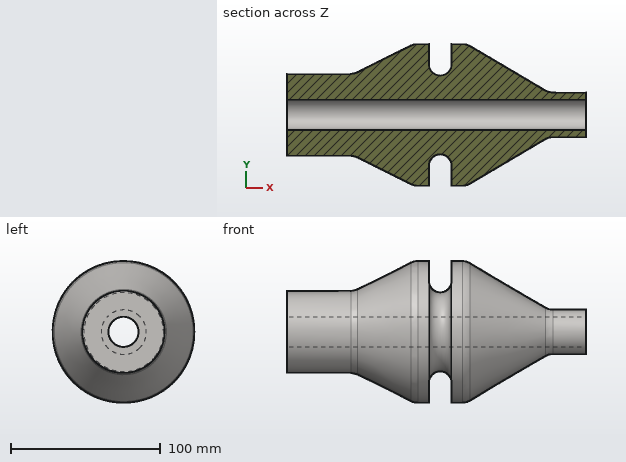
import cadquery as cq

LENGTH = 200.0
REAR_CONE_START = 45.0
REAR_CONE_END = 85.0
FRONT_CONE_START = 120.0
FRONT_CONE_END = 175.0
GROOVE_CENTER = 102.5

REAR_SHANK_DIAMETER = 55.0
BODY_DIAMETER = 95.0
FRONT_SHANK_DIAMETER = 30.0
BORE_DIAMETER = 20.0
GROOVE_FLOOR_DIAMETER = 53.0

GROOVE_WIDTH = 15.0
BLEND_RADIUS = 10.0


def turned_body():
    """Two shanks joined to the central drum by cones, with rounded transitions."""
    rear_radius = REAR_SHANK_DIAMETER / 2
    body_radius = BODY_DIAMETER / 2
    front_radius = FRONT_SHANK_DIAMETER / 2
    profile = (
        cq.Workplane("XY")
        .moveTo(0, 0)
        .lineTo(0, -rear_radius)
        .lineTo(REAR_CONE_START, -rear_radius)
        .lineTo(REAR_CONE_END, -body_radius)
        .lineTo(FRONT_CONE_START, -body_radius)
        .lineTo(FRONT_CONE_END, -front_radius)
        .lineTo(LENGTH, -front_radius)
        .lineTo(LENGTH, 0)
        .close()
    )
    body = profile.revolve(360, (0, 0, 0), (1, 0, 0))
    transitions = body.edges("%CIRCLE and (not (<X or >X))")
    return transitions.fillet(BLEND_RADIUS)


def groove_ring():
    """Ring of material removed by the round-bottomed groove around the drum."""
    body_radius = BODY_DIAMETER / 2
    floor_radius = GROOVE_FLOOR_DIAMETER / 2
    half_width = GROOVE_WIDTH / 2
    arc_end_radius = floor_radius + half_width
    left = GROOVE_CENTER - half_width
    right = GROOVE_CENTER + half_width
    return (
        cq.Workplane("XY")
        .moveTo(left, -body_radius)
        .lineTo(left, -arc_end_radius)
        .threePointArc((GROOVE_CENTER, -floor_radius), (right, -arc_end_radius))
        .lineTo(right, -body_radius)
        .close()
        .revolve(360, (0, 0, 0), (1, 0, 0))
    )


def bore():
    """Through bore along the axis."""
    return cq.Workplane("YZ").circle(BORE_DIAMETER / 2).extrude(LENGTH)


result = turned_body().cut(groove_ring()).cut(bore())